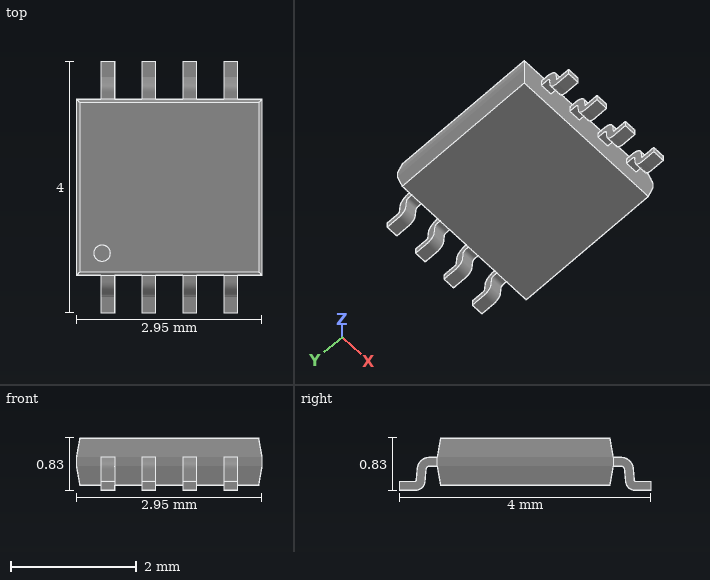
import cadquery as cq
import math

lead_span = 4.0
overall_height = 0.83

body_width = 2.95
body_length = 2.8
body_standoff = 0.08
draft_angle = 10.0

leads_per_side = 4
lead_row_length = 1.95
lead_width = 0.22
lead_thickness = 0.145
shoulder_length = 0.12
shoulder_inner_radius = 0.055
foot_inner_radius = 0.01
leg_slant = math.radians(5)
root_depth = 0.12

marker_diameter = 0.26
marker_depth = 0.015
marker_x_inset = 0.41
marker_y_inset = 0.35

body_mid_height = (overall_height + body_standoff) / 2
lead_top = body_mid_height + lead_thickness / 2
lead_bottom = body_mid_height - lead_thickness / 2
lead_pitch = lead_row_length / (leads_per_side - 1)


def body():
    taper_height = overall_height - lead_top
    band = cq.Workplane("XY").workplane(offset=lead_bottom).rect(body_width, body_length)
    band = band.extrude(lead_thickness)
    upper = band.faces(">Z").wires().toPending().workplane()
    upper = upper.extrude(taper_height, taper=draft_angle, combine=False)
    lower = band.faces("<Z").wires().toPending().workplane()
    lower = lower.extrude(taper_height, taper=draft_angle, combine=False)
    return band.union(upper).union(lower)


def point_on_arc(center, radius, angle):
    return (center[0] + radius * math.cos(angle), center[1] + radius * math.sin(angle))


def lead(x):
    """One lead on the +Y side, centred at x: shoulder, slanted leg and foot."""
    shoulder_outer_radius = shoulder_inner_radius + lead_thickness
    foot_outer_radius = foot_inner_radius + lead_thickness
    root_y = body_length / 2 - root_depth
    tip_y = lead_span / 2

    shoulder_y = body_length / 2 + shoulder_length
    shoulder_z = lead_top - shoulder_outer_radius
    foot_z = lead_thickness + foot_inner_radius
    bend_offset = shoulder_outer_radius + foot_inner_radius + (shoulder_z - foot_z) * math.sin(leg_slant)
    foot_y = shoulder_y + bend_offset / math.cos(leg_slant)
    shoulder_center = (shoulder_y, shoulder_z)
    foot_center = (foot_y, foot_z)

    level = math.pi / 2
    middle = (level + leg_slant) / 2

    def shoulder_point(radius, angle):
        return point_on_arc(shoulder_center, radius, angle)

    def foot_point(radius, angle):
        return point_on_arc(foot_center, radius, angle + math.pi)

    profile = (
        cq.Workplane("YZ", origin=(x - lead_width / 2, 0, 0))
        .moveTo(root_y, lead_top)
        .lineTo(*shoulder_point(shoulder_outer_radius, level))
        .threePointArc(
            shoulder_point(shoulder_outer_radius, middle),
            shoulder_point(shoulder_outer_radius, leg_slant),
        )
        .lineTo(*foot_point(foot_inner_radius, leg_slant))
        .threePointArc(foot_point(foot_inner_radius, middle), foot_point(foot_inner_radius, level))
        .lineTo(tip_y, lead_thickness)
        .lineTo(tip_y, 0)
        .lineTo(*foot_point(foot_outer_radius, level))
        .threePointArc(foot_point(foot_outer_radius, middle), foot_point(foot_outer_radius, leg_slant))
        .lineTo(*shoulder_point(shoulder_inner_radius, leg_slant))
        .threePointArc(
            shoulder_point(shoulder_inner_radius, middle),
            shoulder_point(shoulder_inner_radius, level),
        )
        .lineTo(root_y, lead_bottom)
        .close()
    )
    return profile.extrude(lead_width)


def pin_one_marker():
    center_x = marker_x_inset - body_width / 2
    center_y = marker_y_inset - body_length / 2
    floor = cq.Workplane("XY", origin=(center_x, center_y, overall_height - marker_depth))
    return floor.circle(marker_diameter / 2).extrude(marker_depth)


result = body().cut(pin_one_marker())
for index in range(leads_per_side):
    back_lead = lead(index * lead_pitch - lead_row_length / 2)
    front_lead = back_lead.mirror("XZ")
    result = result.union(back_lead).union(front_lead)